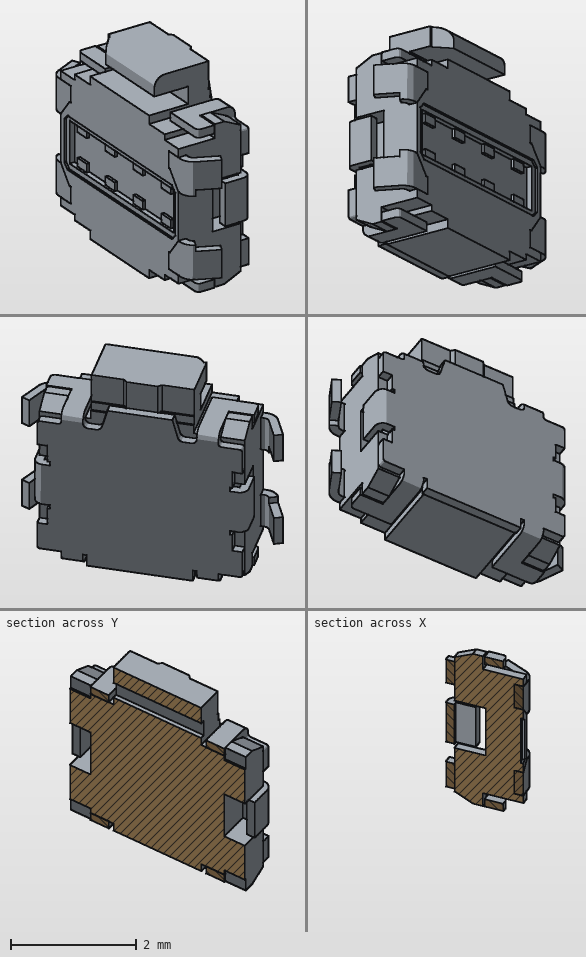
import cadquery as cq
import math


sheet = 0.15
depth_all = 1.35
sides = (-1, 1)

body_depth = depth_all - sheet
body_half_x = 1.69
body_half_z = 1.45
block_half_x = 0.845
seat_half_x = 1.295
seat_z = body_half_z - sheet
corner_step_z = 1.2
corner_step_y = 0.7
corner_slope_y = 0.877

pocket_half_x = 1.495
pocket_half_z = 0.383
rim_width = 0.1
rim_depth = 0.04
pocket_depth = 0.138
stud_width = 0.27
stud_height = 0.155
stud_rise = 0.05
stud_pitch = 0.805
stud_columns = 4

button_top = body_half_z + 0.655
lip_bottom = 1.76
lip_front = 0.1
lip_radius = 0.2
lip_corner = 0.25
lip_corner_flat = 0.047
stem_front = 0.75
stem_back_upper = 1.145
stem_back_lower = 1.17
stem_step_z = 1.6
rib_half_x = 0.315

lug_half_top = 0.538
lug_half_bottom = 0.645
lug_top = stem_step_z
shoulder_top = 1.213
shoulder_bottom = -1.245
lug_floor = 1.205
foot_lobe_half_x = 0.875
tab_inner_x = 0.937
foot_outer_x = 1.71
foot_front = 0.35
foot_back = 0.675
foot_radius = 0.077
corner_radius = 0.05
lug_relief_radius = 0.1
tab_relief_radius = 0.09
clip_outer_x = 1.76
clip_inner_x = clip_outer_x - sheet
clip_half_z = 0.383
clip_front = 0.85
clip_slit_half_z = 0.45
side_notch_half_z = 0.755
side_notch_x = 1.522
clip_slit_x = 1.48
clip_pocket_y = 0.66
clip_pocket_x = 1.295

bend_start_x = 1.745
bend_inner_radius = 0.1
bend_angle = math.radians(65)
overall_half_x = 2.15
terminal_outer_z = 1.05
terminal_inner_z = 0.435
arm_inner_z = 0.545
pad_inner_x = 1.405
pad_bevel_x = 1.44
pad_bevel_z = 0.75


def block(x0, x1, y0, y1, z0, z1):
    """Box between two corners, given in either order along each axis."""
    size = (abs(x1 - x0), abs(y1 - y0), abs(z1 - z0))
    centre = ((x0 + x1) / 2, (y0 + y1) / 2, (z0 + z1) / 2)
    return cq.Workplane("XY").box(*size).translate(centre)


def front_prism(points, y0, y1):
    """Prism with an outline of (x, z) points between two Y positions."""
    return cq.Workplane("XZ", origin=(0, y1, 0)).polyline(points).close().extrude(y1 - y0)


def plan_prism(points, z0, z1):
    """Prism with an outline of (x, y) points between two heights."""
    return cq.Workplane("XY", origin=(0, 0, z0)).polyline(points).close().extrude(z1 - z0)


def mirrored(points):
    """Outline points followed by their mirror images across X = 0, in reverse order."""
    return points + [(-x, v) for x, v in reversed(points)]



def make_terminal(side_x, side_z):
    """Pad set into the mounting face, a bend beside the housing and a narrower raised arm."""
    sin_a = math.sin(bend_angle)
    cos_a = math.cos(bend_angle)
    outer_radius = bend_inner_radius + sheet
    arm_length = (overall_half_x - bend_start_x - outer_radius * sin_a) / cos_a

    def on_bend(radius, angle):
        return (bend_start_x + radius * math.sin(angle), outer_radius - radius * math.cos(angle))

    def along_arm(point):
        return (point[0] + arm_length * cos_a, point[1] + arm_length * sin_a)

    outer_end = on_bend(outer_radius, bend_angle)
    inner_end = on_bend(bend_inner_radius, bend_angle)

    pad = front_prism(
        [
            (bend_start_x, terminal_outer_z),
            (pad_inner_x, terminal_outer_z),
            (pad_inner_x, pad_bevel_z),
            (pad_bevel_x, pad_bevel_z),
            (body_half_x, terminal_inner_z),
            (bend_start_x, terminal_inner_z),
        ],
        0,
        sheet,
    )
    bend = (
        cq.Workplane("XY", origin=(0, 0, terminal_inner_z))
        .moveTo(bend_start_x, 0)
        .threePointArc(on_bend(outer_radius, bend_angle / 2), outer_end)
        .lineTo(*inner_end)
        .threePointArc(on_bend(bend_inner_radius, bend_angle / 2), (bend_start_x, sheet))
        .close()
        .extrude(terminal_outer_z - terminal_inner_z)
    )
    arm = plan_prism(
        [outer_end, along_arm(outer_end), along_arm(inner_end), inner_end],
        arm_inner_z,
        terminal_outer_z,
    )
    terminal = pad.union(bend).union(arm)
    if side_x < 0:
        terminal = terminal.mirror("YZ")
    if side_z < 0:
        terminal = terminal.mirror("XY")
    return terminal



def cut_corner(housing, side_x, side_z):
    """Tab seat, lowered front corner and sloped rear corner at one corner of the housing."""
    top = side_z * body_half_z
    seat = block(
        side_x * block_half_x, side_x * seat_half_x, 0, body_depth, side_z * seat_z, top
    )
    step = block(
        side_x * seat_half_x, side_x * body_half_x, 0, corner_step_y, side_z * corner_step_z, top
    )
    slope = (
        cq.Workplane("YZ", origin=(side_x * seat_half_x, 0, 0))
        .polyline([(corner_slope_y, top), (body_depth, top), (body_depth, side_z * seat_z)])
        .close()
        .extrude(side_x * (body_half_x - seat_half_x))
    )
    return housing.cut(seat).cut(step).cut(slope)


def cut_front_pocket(housing):
    """Rectangular pocket inside a shallow octagonal rim, with studs along its long walls."""
    rim = (
        block(
            -pocket_half_x - rim_width, pocket_half_x + rim_width,
            0, rim_depth,
            -pocket_half_z - rim_width, pocket_half_z + rim_width,
        )
        .edges("|Y")
        .chamfer(rim_width)
    )
    pocket = block(
        -pocket_half_x, pocket_half_x, 0, pocket_depth, -pocket_half_z, pocket_half_z
    )
    housing = housing.cut(rim).cut(pocket)
    for column in range(stud_columns):
        x = (column - (stud_columns - 1) / 2) * stud_pitch
        for side_z in sides:
            stud = block(
                x - stud_width / 2, x + stud_width / 2,
                pocket_depth - stud_rise, pocket_depth,
                side_z * (pocket_half_z - stud_height), side_z * pocket_half_z,
            )
            housing = housing.union(stud)
    return housing


def stem_part(side_y, z0, z1):
    """Length of the button stem whose back has a central rib with 45 degree flanks."""
    def rib_half_at(y):
        return rib_half_x - (y - stem_back_upper)

    right_half = [
        (block_half_x, stem_front),
        (block_half_x, side_y),
        (rib_half_at(side_y), side_y),
        (rib_half_at(body_depth), body_depth),
    ]
    return plan_prism(mirrored(right_half), z0, z1)


def make_button():
    """Stem and overhanging lip with a rounded front edge and one bevelled end."""
    lip = (
        block(-block_half_x, block_half_x, lip_front, stem_front, lip_bottom, button_top)
        .edges("|X and <Y and >Z")
        .fillet(lip_radius)
    )
    corner_y = lip_front + lip_corner
    corner_x = -block_half_x + lip_corner_flat
    bevel = plan_prism(
        [
            (-block_half_x, lip_front),
            (corner_x + lip_corner, lip_front),
            (corner_x, corner_y),
            (-block_half_x, corner_y),
        ],
        lip_bottom,
        button_top,
    )
    lower = stem_part(stem_back_lower, body_half_z, stem_step_z)
    upper = stem_part(stem_back_upper, stem_step_z, button_top)
    return lip.cut(bevel).union(lower).union(upper)


def make_housing(terminals):
    """Moulded housing with its button, seats for the cover and a seat for each terminal."""
    housing = block(-body_half_x, body_half_x, 0, body_depth, -body_half_z, body_half_z)
    for side_x in sides:
        for side_z in sides:
            housing = cut_corner(housing, side_x, side_z)
        clip_pocket = block(
            side_x * clip_pocket_x, side_x * body_half_x,
            clip_pocket_y, body_depth,
            -clip_slit_half_z, clip_slit_half_z,
        )
        housing = housing.cut(clip_pocket)
    housing = cut_front_pocket(housing).union(make_button())
    for terminal in terminals:
        housing = housing.cut(terminal)
    return housing



def make_plate():
    """Flat back of the cover with its top lug, tab roots and side notches."""
    right_half = [
        (lug_half_top, lug_top),
        (lug_half_bottom, lug_floor),
        (tab_inner_x, lug_floor),
        (tab_inner_x, seat_z),
        (seat_half_x, seat_z),
        (seat_half_x, shoulder_top),
        (body_half_x, shoulder_top),
        (body_half_x, side_notch_half_z),
        (side_notch_x, side_notch_half_z),
        (side_notch_x, clip_slit_half_z),
        (clip_slit_x, clip_slit_half_z),
        (clip_slit_x, clip_half_z),
        (clip_inner_x, clip_half_z),
        (clip_inner_x, -clip_half_z),
        (clip_slit_x, -clip_half_z),
        (clip_slit_x, -clip_slit_half_z),
        (side_notch_x, -clip_slit_half_z),
        (side_notch_x, -side_notch_half_z),
        (body_half_x, -side_notch_half_z),
        (body_half_x, shoulder_bottom),
        (seat_half_x, shoulder_bottom),
        (seat_half_x, -seat_z),
        (tab_inner_x, -seat_z),
        (tab_inner_x, shoulder_bottom),
        (foot_lobe_half_x, shoulder_bottom),
        (foot_lobe_half_x, -body_half_z),
    ]
    return front_prism(mirrored(right_half), body_depth, depth_all)


def round_plate_corners(plate):
    """Rounded outer corners and fillets beside the lug and the upper tabs."""
    corners = [
        (body_half_x, shoulder_top, corner_radius),
        (body_half_x, shoulder_bottom, corner_radius),
        (seat_half_x, shoulder_top, corner_radius),
        (tab_inner_x, lug_floor, tab_relief_radius),
        (lug_half_bottom, lug_floor, lug_relief_radius),
    ]
    mid_y = body_depth + sheet / 2
    for x, z, radius in corners:
        for side_x in sides:
            edge = cq.selectors.NearestToPointSelector((side_x * x, mid_y, z))
            plate = plate.edges(edge).fillet(radius)
    return plate


def make_tab(side_x, side_z):
    """L-shaped tab bent forward from the plate, its foot pointing outward."""
    leg = (
        cq.Workplane("YZ", origin=(tab_inner_x, 0, 0))
        .moveTo(foot_front, seat_z)
        .lineTo(depth_all, seat_z)
        .radiusArc((body_depth, body_half_z), -sheet)
        .lineTo(foot_front, body_half_z)
        .close()
        .extrude(seat_half_x - tab_inner_x)
    )
    foot = (
        block(seat_half_x, foot_outer_x, foot_front, foot_back, seat_z, body_half_z)
        .edges("|Z and >X and <Y")
        .fillet(foot_radius)
    )
    tab = leg.union(foot)
    if side_x < 0:
        tab = tab.mirror("YZ")
    if side_z < 0:
        tab = tab.mirror("XY")
    return tab


def make_clip(side_x):
    """Side clip bent forward from the plate into the housing's side pocket."""
    clip = (
        cq.Workplane("XY", origin=(0, 0, -clip_half_z))
        .moveTo(clip_inner_x, clip_front)
        .lineTo(clip_outer_x, clip_front)
        .lineTo(clip_outer_x, body_depth)
        .radiusArc((clip_inner_x, depth_all), -sheet)
        .close()
        .extrude(2 * clip_half_z)
    )
    return clip if side_x > 0 else clip.mirror("YZ")


def make_cover():
    """One piece of bent sheet metal behind and around the housing."""
    cover = round_plate_corners(make_plate())
    for side_x in sides:
        cover = cover.union(make_clip(side_x))
        for side_z in sides:
            cover = cover.union(make_tab(side_x, side_z))
    return cover



terminals = [make_terminal(side_x, side_z) for side_x in sides for side_z in sides]
housing = make_housing(terminals)
cover = make_cover()

result = cq.Compound.makeCompound(
    [housing.val(), cover.val(), *[terminal.val() for terminal in terminals]]
)